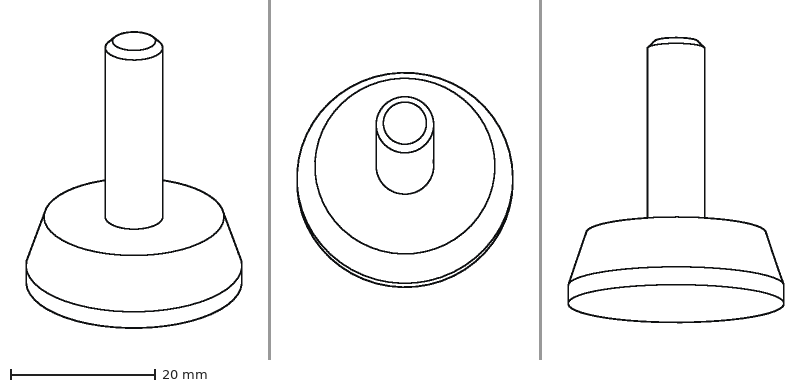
import cadquery as cq

total_height = 37.0
base_diameter = 30.0
pad_top_diameter = 25.0
rim_height = 2.5
pad_height = 10.0
stud_diameter = 8.0
tip_chamfer = 1.0

base_radius = base_diameter / 2
pad_top_radius = pad_top_diameter / 2
stud_length = total_height - pad_height

pad_profile = (
    cq.Workplane("XZ")
    .moveTo(0, 0)
    .lineTo(base_radius, 0)
    .lineTo(base_radius, rim_height)
    .lineTo(pad_top_radius, pad_height)
    .lineTo(0, pad_height)
    .close()
)
pad = pad_profile.revolve(360, (0, 0, 0), (0, 1, 0))

stud = (
    cq.Workplane("XY")
    .workplane(offset=pad_height)
    .circle(stud_diameter / 2)
    .extrude(stud_length)
    .faces(">Z")
    .chamfer(tip_chamfer)
)

result = pad.union(stud)